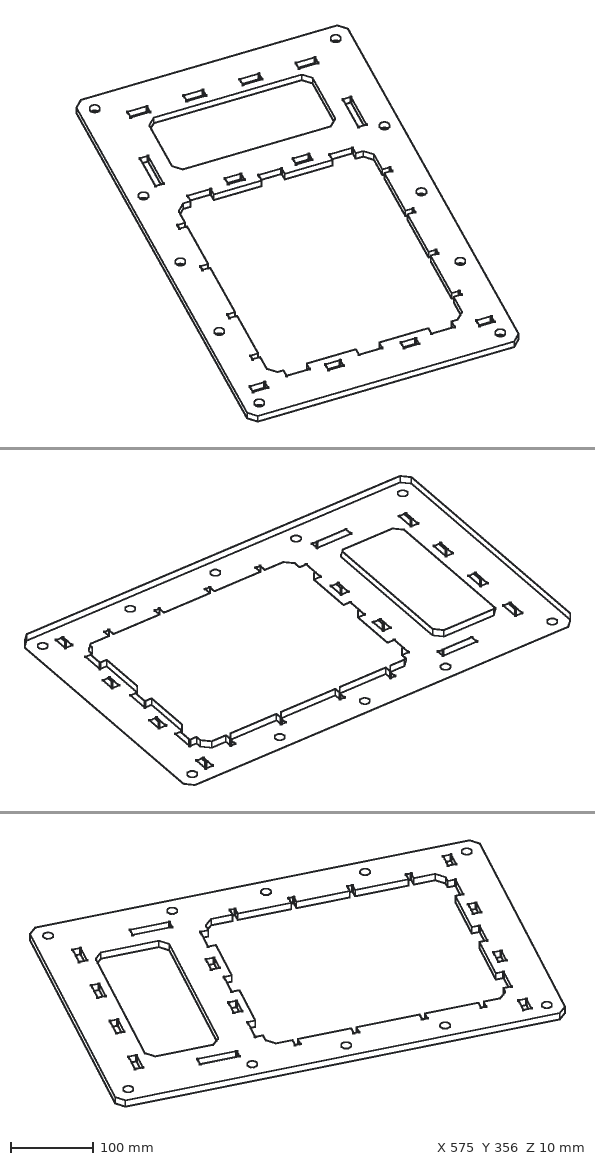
import cadquery as cq

PLATE_LENGTH = 575.0
PLATE_WIDTH = 356.0
THICKNESS = 10.0
CORNER_CHAMFER = 10.0

BOLT_DIAMETER = 12.5
BOLT_EDGE_INSET = 20.0
END_BOLT_X = PLATE_LENGTH / 2 - BOLT_EDGE_INSET
BOLT_ROW_Y = PLATE_WIDTH / 2 - BOLT_EDGE_INSET
BOLT_XS = (-END_BOLT_X, -109.0, 11.0, 137.5, END_BOLT_X)

SMALL_WINDOW_LEFT = -226.5
SMALL_WINDOW_RIGHT = -132.5
SMALL_WINDOW_HALF_WIDTH = 107.0
LARGE_WINDOW_LEFT = -79.0
LARGE_WINDOW_RIGHT = 227.5
LARGE_WINDOW_HALF_WIDTH = 128.0

NOTCH_DEPTH = THICKNESS
NOTCH_WIDTH = 30.25
LEFT_NOTCH_PITCH = 93.0
RIGHT_NOTCH_PITCH = 95.0

SLIT_WIDTH = 6.5
SLIT_DEPTH = 10.0
SLIT_PITCH = 75.0
FIRST_TOP_SLIT_X = -38.25
BOTTOM_LEFT_SLIT_X = -44.5
BOTTOM_RIGHT_SLIT_X = 118.0
TOP_SLIT_COUNT = 4
TOP_SLIT_XS = tuple(FIRST_TOP_SLIT_X + i * SLIT_PITCH for i in range(TOP_SLIT_COUNT))
BOTTOM_SLIT_XS = (
    BOTTOM_LEFT_SLIT_X,
    BOTTOM_LEFT_SLIT_X + SLIT_PITCH,
    BOTTOM_RIGHT_SLIT_X,
    BOTTOM_RIGHT_SLIT_X + SLIT_PITCH,
)

TAB_SLOT_WIDTH = THICKNESS
TAB_SLOT_COUNT = 4
LEFT_TAB_SLOT_X = -242.5
LEFT_TAB_SLOT_LENGTH = 25.25
LEFT_TAB_SLOT_PITCH = 73.5
RIGHT_TAB_SLOT_X = -LEFT_TAB_SLOT_X
RIGHT_TAB_SLOT_LENGTH = 19.5
RIGHT_TAB_SLOT_PITCH = 99.0

DIVIDER_SLOT_WIDTH = 10.5
LONG_SLOT_LEFT = -169.25
LONG_SLOT_RIGHT = -119.0
LONG_SLOT_Y = LARGE_WINDOW_HALF_WIDTH + THICKNESS / 2
SHORT_SLOT_X = LARGE_WINDOW_LEFT - NOTCH_DEPTH - THICKNESS / 2
SHORT_SLOT_LENGTH = 21.0
SHORT_SLOT_Y = 44.5

RELIEF_DIAMETER = 2.0


def block(left, right, bottom, top):
    """Full-thickness block between the given X and Y limits."""
    box = cq.Workplane("XY").box(right - left, top - bottom, THICKNESS, centered=False)
    return box.translate((left, bottom, 0))


def chamfered_block(left, right, half_width):
    """Block centred on Y = 0 with chamfered upright edges."""
    return block(left, right, -half_width, half_width).edges("|Z").chamfer(CORNER_CHAMFER)


def reliefs(points):
    """Round tool reliefs centred on the given corners."""
    return cq.Workplane("XY").pushPoints(points).circle(RELIEF_DIAMETER / 2).extrude(THICKNESS)


def relieved_block(left, right, bottom, top):
    """Block with a round relief on each of its four corners."""
    corners = [(x, y) for x in (left, right) for y in (bottom, top)]
    return block(left, right, bottom, top).union(reliefs(corners))


def bolt_holes():
    """Two rows of bolt holes."""
    points = [(x, y) for x in BOLT_XS for y in (-BOLT_ROW_Y, BOLT_ROW_Y)]
    return cq.Workplane("XY").pushPoints(points).circle(BOLT_DIAMETER / 2).extrude(THICKNESS)


def large_window():
    """Large window with its side notches and edge slits."""
    window = chamfered_block(LARGE_WINDOW_LEFT, LARGE_WINDOW_RIGHT, LARGE_WINDOW_HALF_WIDTH)
    sides = (
        (LARGE_WINDOW_LEFT, LARGE_WINDOW_LEFT - NOTCH_DEPTH, LEFT_NOTCH_PITCH),
        (LARGE_WINDOW_RIGHT, LARGE_WINDOW_RIGHT + NOTCH_DEPTH, RIGHT_NOTCH_PITCH),
    )
    for mouth_x, floor_x, pitch in sides:
        for center_y in (-pitch, 0, pitch):
            bottom = center_y - NOTCH_WIDTH / 2
            top = center_y + NOTCH_WIDTH / 2
            window = window.union(block(min(mouth_x, floor_x), max(mouth_x, floor_x), bottom, top))
            window = window.union(reliefs([(floor_x, bottom), (floor_x, top)]))
    for slit_xs, side in ((TOP_SLIT_XS, 1), (BOTTOM_SLIT_XS, -1)):
        mouth_y = side * LARGE_WINDOW_HALF_WIDTH
        floor_y = mouth_y + side * SLIT_DEPTH
        for center_x in slit_xs:
            left = center_x - SLIT_WIDTH / 2
            right = center_x + SLIT_WIDTH / 2
            window = window.union(block(left, right, min(mouth_y, floor_y), max(mouth_y, floor_y)))
            window = window.union(reliefs([(left, floor_y), (right, floor_y)]))
    return window


def relieved_slots(centers, length_x, length_y):
    """Equal corner-relieved slots at the given centres."""
    slots = cq.Workplane("XY")
    for x, y in centers:
        slots = slots.add(
            relieved_block(x - length_x / 2, x + length_x / 2, y - length_y / 2, y + length_y / 2)
        )
    return slots.combine()


def tab_slots(center_x, length, pitch):
    """Column of evenly spaced tab slots, centred on Y = 0."""
    first_y = -pitch * (TAB_SLOT_COUNT - 1) / 2
    centers = [(center_x, first_y + i * pitch) for i in range(TAB_SLOT_COUNT)]
    return relieved_slots(centers, TAB_SLOT_WIDTH, length)


def long_slots():
    """Long slots running along X, one near each long edge."""
    center_x = (LONG_SLOT_LEFT + LONG_SLOT_RIGHT) / 2
    centers = [(center_x, -LONG_SLOT_Y), (center_x, LONG_SLOT_Y)]
    return relieved_slots(centers, LONG_SLOT_RIGHT - LONG_SLOT_LEFT, DIVIDER_SLOT_WIDTH)


def short_slots():
    """Short slots in the web between the two windows."""
    centers = [(SHORT_SLOT_X, -SHORT_SLOT_Y), (SHORT_SLOT_X, SHORT_SLOT_Y)]
    return relieved_slots(centers, DIVIDER_SLOT_WIDTH, SHORT_SLOT_LENGTH)


plate = chamfered_block(-PLATE_LENGTH / 2, PLATE_LENGTH / 2, PLATE_WIDTH / 2)
plate = plate.cut(bolt_holes())
plate = plate.cut(chamfered_block(SMALL_WINDOW_LEFT, SMALL_WINDOW_RIGHT, SMALL_WINDOW_HALF_WIDTH))
plate = plate.cut(large_window())
plate = plate.cut(tab_slots(LEFT_TAB_SLOT_X, LEFT_TAB_SLOT_LENGTH, LEFT_TAB_SLOT_PITCH))
plate = plate.cut(tab_slots(RIGHT_TAB_SLOT_X, RIGHT_TAB_SLOT_LENGTH, RIGHT_TAB_SLOT_PITCH))
plate = plate.cut(long_slots())
result = plate.cut(short_slots())